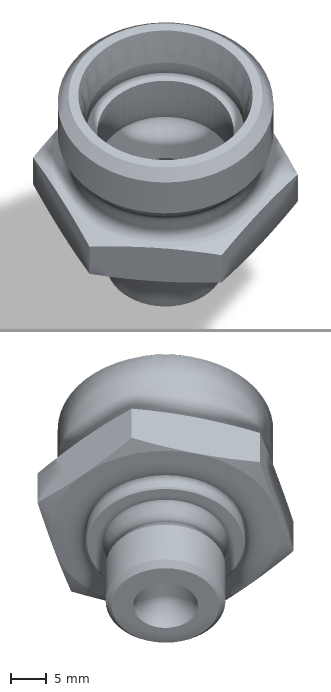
import cadquery as cq
import math

total_height = 35.5
thread_top = 7.57
collar_bottom = 12.05
hex_bottom = 14.52
hex_top = 21.5
flare_bottom = 25.1
flare_top = 27.6

stud_diameter = 16.65
groove_diameter = 14.78
collar_diameter = 22.17
neck_diameter = 27.0
head_diameter = 30.0

stud_chamfer = 0.85
collar_chamfer = 0.22
head_chamfer = (head_diameter - neck_diameter) / 2
groove_radius = 1.07
groove_flank_angle = math.radians(30)
neck_base_fillet = 1.1
neck_top_fillet = 1.0

hex_across_corners = 36.95
hex_chamfer_diameter = 31.9
hex_chamfer_angle = math.radians(15)

through_diameter = 9.0
bore_diameter = 19.0
bore_depth = 15.0
seat_diameter = 22.0
seat_depth = 7.5
mouth_diameter = 24.28
mouth_half_angle = math.radians(12)
drill_half_angle = math.radians(59)


def revolve_profile(profile):
    """Turn a closed (radius, height) profile around the Z axis."""
    return profile.close().revolve(360, (0, 0, 0), (0, 1, 0))


def make_stud():
    """Lower stud with its rounded undercut groove and sealing collar."""
    stud_radius = stud_diameter / 2
    collar_radius = collar_diameter / 2
    bottom_radius = groove_diameter / 2
    flank_slope = math.tan(groove_flank_angle)
    arc_end_radius = bottom_radius + groove_radius * (1 - math.cos(groove_flank_angle))
    arc_half_height = groove_radius * math.sin(groove_flank_angle)
    arc_bottom = thread_top + (stud_radius - arc_end_radius) / flank_slope
    arc_middle = arc_bottom + arc_half_height
    arc_top = arc_middle + arc_half_height
    flank_top_radius = arc_end_radius + (collar_bottom - arc_top) * flank_slope
    profile = (
        cq.Workplane("XZ")
        .lineTo(stud_radius - stud_chamfer, 0)
        .lineTo(stud_radius, stud_chamfer)
        .lineTo(stud_radius, thread_top)
        .lineTo(arc_end_radius, arc_bottom)
        .threePointArc((bottom_radius, arc_middle), (arc_end_radius, arc_top))
        .lineTo(flank_top_radius, collar_bottom)
        .lineTo(collar_radius - collar_chamfer, collar_bottom)
        .lineTo(collar_radius, collar_bottom + collar_chamfer)
        .lineTo(collar_radius, hex_bottom)
        .lineTo(0, hex_bottom)
    )
    return revolve_profile(profile)


def make_hexagon():
    """Hexagon with conical chamfers on the corners of both faces."""
    prism = (
        cq.Workplane("XY", origin=(0, 0, hex_bottom))
        .polygon(6, hex_across_corners)
        .extrude(hex_top - hex_bottom)
        .rotate((0, 0, 0), (0, 0, 1), 90)
    )
    face_radius = hex_chamfer_diameter / 2
    corner_radius = hex_across_corners / 2
    corner_drop = (corner_radius - face_radius) * math.tan(hex_chamfer_angle)
    envelope = (
        cq.Workplane("XZ")
        .moveTo(0, hex_bottom)
        .lineTo(face_radius, hex_bottom)
        .lineTo(corner_radius, hex_bottom + corner_drop)
        .lineTo(corner_radius, hex_top - corner_drop)
        .lineTo(face_radius, hex_top)
        .lineTo(0, hex_top)
    )
    return prism.intersect(revolve_profile(envelope))


def make_head():
    """Upper head on a neck that is filleted at both ends."""
    neck_radius = neck_diameter / 2
    head_radius = head_diameter / 2
    flare_angle = math.atan2(head_radius - neck_radius, flare_top - flare_bottom)
    tangent_length = neck_top_fillet * math.tan(flare_angle / 2)
    arc_start = flare_bottom - tangent_length
    arc_end = (
        neck_radius + tangent_length * math.sin(flare_angle),
        flare_bottom + tangent_length * math.cos(flare_angle),
    )
    base_diagonal = neck_base_fillet * (1 - math.sqrt(0.5))
    profile = (
        cq.Workplane("XZ")
        .moveTo(0, hex_top)
        .lineTo(neck_radius + neck_base_fillet, hex_top)
        .threePointArc(
            (neck_radius + base_diagonal, hex_top + base_diagonal),
            (neck_radius, hex_top + neck_base_fillet),
        )
        .lineTo(neck_radius, arc_start)
        .tangentArcPoint(arc_end, relative=False)
        .lineTo(head_radius, flare_top)
        .lineTo(head_radius, total_height - head_chamfer)
        .lineTo(head_radius - head_chamfer, total_height)
        .lineTo(0, total_height)
    )
    return revolve_profile(profile)


def make_bore():
    """Tapered mouth, tube seat, main bore, drill cone and through hole."""
    through_radius = through_diameter / 2
    bore_radius = bore_diameter / 2
    seat_radius = seat_diameter / 2
    mouth_radius = mouth_diameter / 2
    bore_bottom = total_height - bore_depth
    seat_bottom = total_height - seat_depth
    mouth_bottom = total_height - (mouth_radius - seat_radius) / math.tan(mouth_half_angle)
    cone_bottom = bore_bottom - (bore_radius - through_radius) / math.tan(drill_half_angle)
    profile = (
        cq.Workplane("XZ")
        .lineTo(through_radius, 0)
        .lineTo(through_radius, cone_bottom)
        .lineTo(bore_radius, bore_bottom)
        .lineTo(bore_radius, seat_bottom)
        .lineTo(seat_radius, seat_bottom)
        .lineTo(seat_radius, mouth_bottom)
        .lineTo(mouth_radius, total_height)
        .lineTo(0, total_height)
    )
    return revolve_profile(profile)


result = make_stud().union(make_hexagon()).union(make_head()).cut(make_bore())